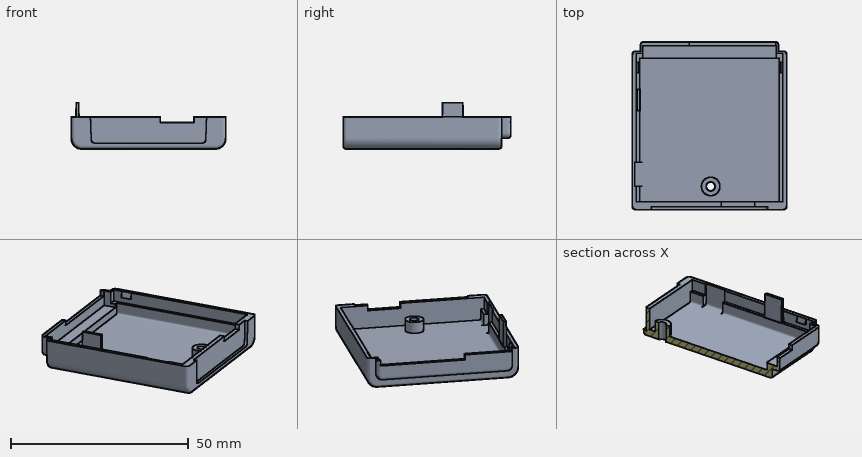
import cadquery as cq

width = 43.42
total_depth = 47.2
body_depth = 44.6
rim_z = 9.0
edge_radius = 1.0
side_radius = 2.95

lip_half_width = 19.45
lip_bottom_z = 3.0
lip_side_radius = 1.5
lip_overlap = 4.7

floor_z = 2.3
shelf_z = 4.6
ledge_z = 5.55

cavity_half_width = 20.6
cavity_front = 2.2
cavity_back = 44.05
pocket_half_width = 19.65
pocket_back = 42.57
pocket_radius = 0.55
shelf_half_width = 18.75
shelf_back = 46.1

relief_x = -20.95
relief_front = 6.65
relief_back = 13.3

notch_depth = 1.5
front_notch_left = 3.3
front_notch_right = 12.75
rear_notch_left = -5.7
rear_notch_right = 18.55

panel_depth = 0.9
panel_top_half_width = 16.35
panel_bottom_half_width = 16.05
panel_bottom_z = 1.7
panel_radius = 0.95

boss_x = 0.35
boss_y = 6.55
boss_radius = 2.6
hole_radius = 1.25

tab_x = -19.95
tab_y = 30.8
tab_thickness = 0.75
tab_length = 5.75
tab_top_z = 13.07
tab_draft = 1.0

catch_front = 38.45
catch_back = 41.45
catch_reach = 0.55
catch_bottom_z = 7.3


def block(x_min, x_max, y_min, y_max, z_min, z_max):
    """Box given by its limits along each axis."""
    size = (x_max - x_min, y_max - y_min, z_max - z_min)
    return cq.Workplane("XY").box(*size, centered=False).translate((x_min, y_min, z_min))


def make_body():
    half = width / 2
    body = block(-half, half, 0, body_depth, 0, rim_z)
    body = body.edges("|Y and <Z").fillet(side_radius)
    return body.faces("<Y or >Y").edges("not >Z").fillet(edge_radius)


def make_lip():
    front = body_depth - lip_overlap
    lip = block(-lip_half_width, lip_half_width, front, total_depth, lip_bottom_z, rim_z)
    lip = lip.edges("|Y and <Z").fillet(lip_side_radius)
    return lip.faces(">Y").edges("not >Z").fillet(edge_radius)


def make_interior():
    cavity = block(-cavity_half_width, cavity_half_width, cavity_front, cavity_back, ledge_z, rim_z)
    shelf = block(-shelf_half_width, shelf_half_width, pocket_back, shelf_back, shelf_z, rim_z)
    pocket = block(-pocket_half_width, pocket_half_width, cavity_front, pocket_back, floor_z, rim_z)
    pocket = pocket.edges("|Y and <Z").fillet(pocket_radius)
    relief = block(relief_x, 0, relief_front, relief_back, floor_z, rim_z)
    relief = relief.edges("|Y and <Z and <X").fillet(pocket_radius)
    return cavity.union(shelf).union(pocket).union(relief)


def make_notches():
    bottom = rim_z - notch_depth
    front = block(front_notch_left, front_notch_right, 0, cavity_front, bottom, rim_z)
    rear = block(rear_notch_left, rear_notch_right, shelf_back, total_depth, bottom, rim_z)
    return front.union(rear)


def make_front_panel():
    outline = [
        (-panel_top_half_width, rim_z),
        (-panel_bottom_half_width, panel_bottom_z),
        (panel_bottom_half_width, panel_bottom_z),
        (panel_top_half_width, rim_z),
    ]
    panel = cq.Workplane("XZ").polyline(outline).close().extrude(-panel_depth)
    return panel.edges("|Y and <Z").fillet(panel_radius)


def make_boss():
    boss = cq.Workplane("XY").center(boss_x, boss_y).circle(boss_radius)
    return boss.extrude(ledge_z - floor_z).translate((0, 0, floor_z))


def make_hole():
    return cq.Workplane("XY").center(boss_x, boss_y).circle(hole_radius).extrude(ledge_z)


def make_tab():
    top = cq.Workplane("XY", origin=(tab_x, tab_y, tab_top_z)).rect(tab_thickness, tab_length)
    return top.extrude(ledge_z - tab_top_z, taper=-tab_draft)


def make_catch():
    """Wedge on the right wall, sloping inward from the rim."""
    outline = [
        (cavity_half_width, rim_z),
        (cavity_half_width - catch_reach, catch_bottom_z),
        (cavity_half_width, catch_bottom_z),
    ]
    wedge = cq.Workplane("XZ").polyline(outline).close().extrude(catch_front - catch_back)
    return wedge.translate((0, catch_front, 0))


result = make_body().union(make_lip())
result = result.cut(make_interior()).cut(make_notches()).cut(make_front_panel())
result = result.union(make_boss()).cut(make_hole()).union(make_tab())
right_catch = make_catch()
result = result.union(right_catch).union(right_catch.mirror("YZ"))